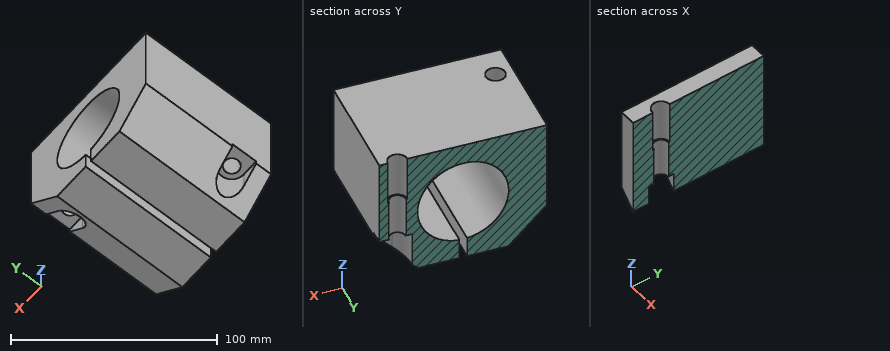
import cadquery as cq

width = 87.0
depth = 79.0
height = 70.0
corner_cut = 20.0

bore_diameter = 47.0
slit_width = 4.0

hole_x = 34.0
hole_edge_distance = 17.0
hole_y = depth / 2 - hole_edge_distance
tapped_diameter = 10.0
tapped_depth = 25.0
through_diameter = 8.6

pocket_width = 15.0
pocket_seat_z = 22.0


def make_block():
    """Block on Z = 0 with both lower long edges cut at 45 degrees."""
    block = cq.Workplane("XY").box(width, depth, height, centered=(True, True, False))
    return block.faces("<Z").edges("|Y").chamfer(corner_cut)


def make_split_bore():
    """Full-length central bore joined to a slit through the bottom."""
    bore = (
        cq.Workplane("XZ")
        .center(0, height / 2)
        .circle(bore_diameter / 2)
        .extrude(depth / 2, both=True)
    )
    slit = cq.Workplane("XY").box(slit_width, depth, height / 2, centered=(True, True, False))
    return bore.union(slit)


def make_screw_cutout(side):
    """Screw hole and head pocket; side is -1 for -X, -Y and +1 for +X, +Y."""
    x = side * hole_x
    y = side * hole_y
    through = cq.Workplane("XY").center(x, y).circle(through_diameter / 2).extrude(height)
    tapped = (
        cq.Workplane("XY", origin=(x, y, height))
        .circle(tapped_diameter / 2)
        .extrude(-tapped_depth)
    )
    pocket_end = cq.Workplane("XY").center(x, y).circle(pocket_width / 2).extrude(pocket_seat_z)
    side_run = width / 2 - hole_x
    side_opening = (
        cq.Workplane("XY")
        .center(x + side * side_run / 2, y)
        .rect(side_run, pocket_width)
        .extrude(pocket_seat_z)
    )
    return through.union(tapped).union(pocket_end).union(side_opening)


result = make_block().cut(make_split_bore())
for side in (-1, 1):
    result = result.cut(make_screw_cutout(side))